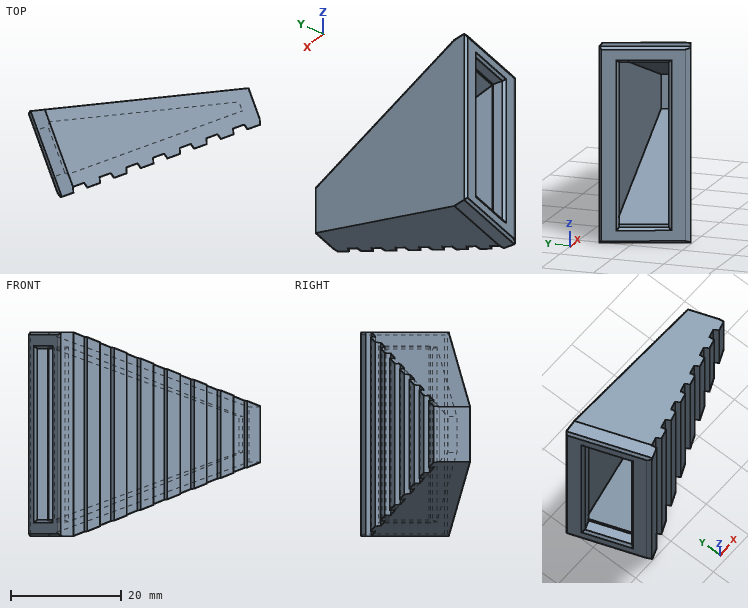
import cadquery as cq
import math

TILT = 20.0

LENGTH = 39.05
BASE_DEPTH = 15.7
TIP_DEPTH = 5.95
BASE_HALF_HEIGHT = 37.0 / 2
TIP_HALF_HEIGHT = 10.0 / 2
BEVEL = 0.5

TOOTH_COUNT = 8
TOOTH_ROOT = 3.02
TOOTH_PITCH = (LENGTH - TOOTH_ROOT) / (TOOTH_COUNT - 1)
TOOTH_DEPTH = 1.0
FLANK_ANGLE = 15.0
FLANK_RUN = TOOTH_DEPTH * math.tan(math.radians(FLANK_ANGLE))
BAND = TOOTH_ROOT

WALL = 2.5
BACK_WALL = 2.25
RIM = 3.0
MOUTH_DEPTH = 9.0
MOUTH_LENGTH = 2.48
LIP_RUN = 0.5

BACK_ANGLE = math.atan2(BASE_DEPTH - TIP_DEPTH, LENGTH)
SIDE_ANGLE = math.atan2(BASE_HALF_HEIGHT - TIP_HALF_HEIGHT, LENGTH - BAND)


def sloped_y(x, start_y):
    """Y at x on a line parallel to the sloped back that passes through (0, start_y)."""
    return start_y - x * math.tan(BACK_ANGLE)


def tapered_z(x):
    """Z at x on the upper tapered side."""
    return BASE_HALF_HEIGHT - (x - BAND) * math.tan(SIDE_ANGLE)


def wedge(side_outline, upper_plan):
    """Solid common to an XY outline and an XZ outline mirrored about Z = 0."""
    lower_plan = [(x, -z) for x, z in reversed(upper_plan)]
    side = cq.Workplane("XY").polyline(side_outline).close().extrude(BASE_HALF_HEIGHT, both=True)
    plan = cq.Workplane("XZ").polyline(upper_plan + lower_plan).close().extrude(BASE_DEPTH, both=True)
    return side.intersect(plan)


def tooth_points():
    """Toothed edge from the base to the tip."""
    points = []
    for index in range(TOOTH_COUNT):
        start = index * TOOTH_PITCH
        end = start + TOOTH_ROOT
        points += [
            (start, 0),
            (start + FLANK_RUN, -TOOTH_DEPTH),
            (end - FLANK_RUN, -TOOTH_DEPTH),
            (end, 0),
        ]
    return points


def outer_body():
    bevel_end = BEVEL * math.cos(BACK_ANGLE)
    side_outline = tooth_points() + [
        (LENGTH, TIP_DEPTH),
        (bevel_end, sloped_y(bevel_end, BASE_DEPTH)),
        (0, BASE_DEPTH - BEVEL),
    ]
    upper_plan = [
        (0, BASE_HALF_HEIGHT - BEVEL),
        (BEVEL, BASE_HALF_HEIGHT),
        (BAND, BASE_HALF_HEIGHT),
        (LENGTH, TIP_HALF_HEIGHT),
    ]
    return wedge(side_outline, upper_plan)


def pocket():
    hollow_start = MOUTH_LENGTH + LIP_RUN
    hollow_end = LENGTH - WALL
    mouth_back_y = RIM + MOUTH_DEPTH
    hollow_back_y = BASE_DEPTH - BACK_WALL / math.cos(BACK_ANGLE)
    mouth_half_height = BASE_HALF_HEIGHT - RIM
    side_wall_height = WALL / math.cos(SIDE_ANGLE)
    side_outline = [
        (0, RIM - BEVEL),
        (BEVEL, RIM),
        (MOUTH_LENGTH, RIM),
        (hollow_start, WALL),
        (hollow_end, WALL),
        (hollow_end, sloped_y(hollow_end, hollow_back_y)),
        (hollow_start, sloped_y(hollow_start, hollow_back_y)),
        (MOUTH_LENGTH, mouth_back_y),
        (BEVEL, mouth_back_y),
        (0, mouth_back_y + BEVEL),
    ]
    upper_plan = [
        (0, mouth_half_height + BEVEL),
        (BEVEL, mouth_half_height),
        (MOUTH_LENGTH, mouth_half_height),
        (hollow_start, tapered_z(hollow_start) - side_wall_height),
        (hollow_end, tapered_z(hollow_end) - side_wall_height),
    ]
    return wedge(side_outline, upper_plan)


result = outer_body().cut(pocket()).rotate((0, 0, 0), (0, 0, 1), TILT)